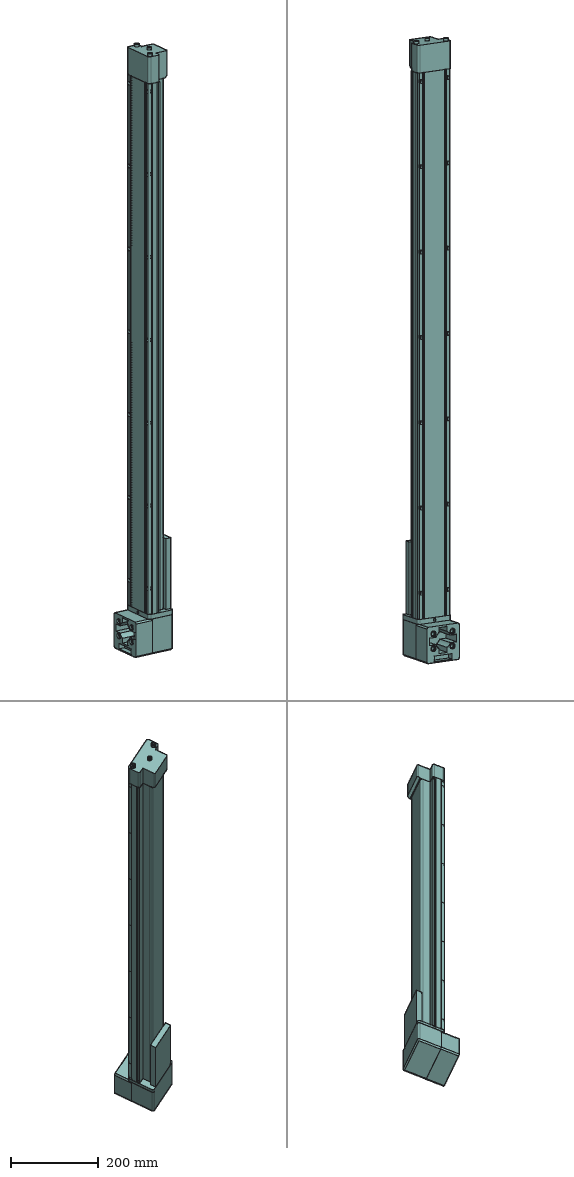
import cadquery as cq

total_height = 1448.0
body_width = 90.0
body_depth = 103.0
half_width = body_width / 2
rear_face = body_depth / 2
front_face = -body_depth / 2
overlap = 7.0

flange_height = 85.0
profile_bottom = 97.0
profile_top = 1377.0
cap_top = 1442.0

section_front = -16.0
shoulder_y = 15.0
tail_half_width = 29.0

profile_rear = 38.0
profile_rear_radius = 6.0
lip_y = -6.5
lip_inset = 3.6
side_slot_y = 9.0
side_slot_width = 5.0
side_slot_depth = 6.0
strip_half_width = 28.0
strip_groove_width = 5.0
strip_groove_depth = 2.2
mount_hole_x = 36.0
mount_hole_radius = 5.0
mount_hole_depth = 9.0
mount_hole_pitch = 200.0
mount_hole_count = 7
first_mount_hole_z = 158.0

cap_rear = 46.0
cap_front_radius = 5.0
cap_shoulder_radius = 5.0
cap_rear_radius = 3.0
cap_lower_chamfer = 6.5
screw_head_places = [(-36.0, 6.0, 6.0), (36.0, -7.0, 6.0), (0, 16.0, 5.0)]
socket_ratio = 0.5

carriage_half_width = 35.0
carriage_length = 171.0

head_lower_inset = 0.5
head_rear_radius = 5.0
pin_hole_radius = 3.0
pin_hole_depth = 9.0
pin_hole_z = 91.0

flange_chamfer = 3.6
coupling_z = 50.0
coupling_radius = 22.0
upright_arm = (22.0, 61.0)
level_arm = (74.0, 17.0)
bolt_x = 26.0
bolt_dz = 17.0
bolt_radius = 5.0
bolt_depth = 22.0
bolt_recess_radius = 6.5
bolt_recess_depth = 5.0
window_width = 48.0
window_depth = 15.0
window_bottom = 3.0
window_top = 16.0


def block(x0, x1, y0, y1, z0, z1):
    """Box between two opposite corners."""
    return cq.Workplane("XY").box(x1 - x0, y1 - y0, z1 - z0, centered=False).translate((x0, y0, z0))


def wide_block(half, y0, y1, z0, z1):
    """Box centred on X = 0."""
    return block(-half, half, y0, y1, z0, z1)


def front_drill(x, z, radius, face_y, depth):
    """Cylinder that cuts into a front face toward +Y."""
    start = cq.Vector(x, face_y - overlap, z)
    return cq.Workplane(cq.Solid.makeCylinder(radius, depth + overlap, start, cq.Vector(0, 1, 0)))


def make_profile():
    """Extruded T-shaped rail with side slots, a cover strip and mounting holes."""
    lip_half_width = half_width - lip_inset
    right_side = [
        (lip_half_width, section_front),
        (lip_half_width, lip_y),
        (half_width, lip_y),
        (half_width, shoulder_y),
        (tail_half_width, shoulder_y),
        (tail_half_width, profile_rear),
    ]
    left_side = [(-x, y) for x, y in reversed(right_side)]
    length = profile_top - profile_bottom
    rail = cq.Workplane("XY").polyline(right_side + left_side).close().extrude(length)
    rail = rail.translate((0, 0, profile_bottom))
    rail = rail.edges("|Z and >Y").fillet(profile_rear_radius)

    slot_y0 = side_slot_y - side_slot_width / 2
    slot_y1 = side_slot_y + side_slot_width / 2
    groove_outer = strip_half_width + strip_groove_width
    groove_floor = section_front + strip_groove_depth
    for side in (-1, 1):
        slot_x = sorted((side * (half_width - side_slot_depth), side * (half_width + overlap)))
        rail = rail.cut(block(*slot_x, slot_y0, slot_y1, profile_bottom, profile_top))
        groove_x = sorted((side * strip_half_width, side * groove_outer))
        rail = rail.cut(block(*groove_x, section_front - overlap, groove_floor, profile_bottom, profile_top))
        for i in range(mount_hole_count):
            hole_z = first_mount_hole_z + i * mount_hole_pitch
            hole_x = side * mount_hole_x
            rail = rail.cut(front_drill(hole_x, hole_z, mount_hole_radius, section_front, mount_hole_depth))
    return rail


def make_end_cap():
    """T-shaped end block with rounded edges and three low socketed screw heads on top."""
    wide_part = wide_block(half_width, section_front, shoulder_y, profile_top, cap_top)
    wide_part = wide_part.edges("|Z and <Y").fillet(cap_front_radius)
    wide_part = wide_part.edges("|Z and >Y").fillet(cap_shoulder_radius)
    tail = wide_block(tail_half_width, section_front + cap_front_radius, cap_rear, profile_top, cap_top)
    tail = tail.edges(">Y and <Z").chamfer(cap_lower_chamfer)
    tail = tail.edges("|Z and >Y").fillet(cap_rear_radius)
    cap = wide_part.union(tail)
    for x, y, radius in screw_head_places:
        head = cq.Workplane("XY").circle(radius).circle(radius * socket_ratio).extrude(total_height - cap_top)
        cap = cap.union(head.translate((x, y, cap_top)))
    return cap


def make_carriage():
    """Flat slider on the rear of the profile, at its lower end."""
    carriage_top = profile_bottom + carriage_length
    return wide_block(carriage_half_width, profile_rear, rear_face, profile_bottom, carriage_top)


def make_drive_head():
    """Drive head: a full-depth top plate over a slightly narrower housing."""
    plate = wide_block(half_width, section_front, rear_face, flange_height, profile_bottom)
    plate = plate.edges("|Z and <Y").fillet(cap_front_radius)
    plate = plate.edges("|Z and >Y").fillet(head_rear_radius)
    lower_half_width = half_width - head_lower_inset
    housing = wide_block(lower_half_width, lip_y, rear_face, 0, flange_height)
    housing = housing.edges("|Z and >Y").fillet(head_rear_radius)
    housing = housing.edges("<Z and |Y").chamfer(flange_chamfer)
    pin_hole = front_drill(0, pin_hole_z, pin_hole_radius, section_front, pin_hole_depth)
    return plate.union(housing).cut(pin_hole)


def make_motor_flange():
    """Motor flange with a cross-shaped coupling opening, four bolt holes and a window."""
    flange = wide_block(half_width, front_face, lip_y, 0, flange_height)
    flange = flange.edges("|Y").chamfer(flange_chamfer)

    flange_depth = lip_y - front_face
    flange = flange.cut(front_drill(0, coupling_z, coupling_radius, front_face, flange_depth))
    for width, height in (upright_arm, level_arm):
        arm_bottom = coupling_z - height / 2
        arm_top = coupling_z + height / 2
        arm = wide_block(width / 2, front_face - overlap, lip_y, arm_bottom, arm_top)
        flange = flange.cut(arm)

    for x in (-bolt_x, bolt_x):
        for z in (coupling_z - bolt_dz, coupling_z + bolt_dz):
            flange = flange.cut(front_drill(x, z, bolt_radius, front_face, bolt_depth))
            flange = flange.cut(front_drill(x, z, bolt_recess_radius, front_face, bolt_recess_depth))

    window_back = front_face + window_depth
    window = wide_block(window_width / 2, front_face - overlap, window_back, window_bottom, window_top)
    return flange.cut(window)


profile = make_profile()
end_cap = make_end_cap()
carriage = make_carriage()
drive_head = make_drive_head()
motor_flange = make_motor_flange()

result = cq.Compound.makeCompound(
    [profile.val(), end_cap.val(), carriage.val(), drive_head.val(), motor_flange.val()]
)